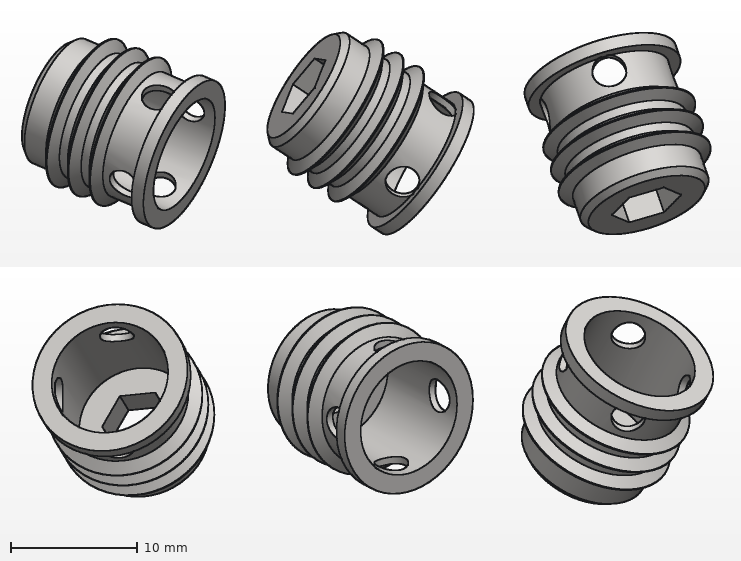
import cadquery as cq
import math

TOTAL_LENGTH = 12.1
OUTER_DIAMETER = 12.65
BODY_DIAMETER = 10.7
OUTER_RADIUS = OUTER_DIAMETER / 2
BODY_RADIUS = BODY_DIAMETER / 2

FLANGE_THICKNESS = 1.1
FLANGE_START = TOTAL_LENGTH - FLANGE_THICKNESS
NOSE_CHAMFER_LENGTH = 0.55
NOSE_CHAMFER_HEIGHT = 0.5

RIDGE_COUNT = 3
RIDGE_PITCH = 2.0
FIRST_RIDGE_CENTER = 3.15
RIDGE_BASE_WIDTH = 1.25
RIDGE_CREST_WIDTH = 0.1

HEX_ACROSS_FLATS = 5.0
HEX_ACROSS_CORNERS = HEX_ACROSS_FLATS / math.cos(math.radians(30))
HEX_DEPTH = 2.9
BORE_DIAMETER = 9.5

CROSS_HOLE_DIAMETER = 2.7
CROSS_HOLE_X = 9.75


def make_body():
    """Solid of revolution with the nose chamfer and the end flange."""
    profile = (
        cq.Workplane("XY")
        .moveTo(0, 0)
        .lineTo(0, BODY_RADIUS - NOSE_CHAMFER_HEIGHT)
        .lineTo(NOSE_CHAMFER_LENGTH, BODY_RADIUS)
        .lineTo(FLANGE_START, BODY_RADIUS)
        .lineTo(FLANGE_START, OUTER_RADIUS)
        .lineTo(TOTAL_LENGTH, OUTER_RADIUS)
        .lineTo(TOTAL_LENGTH, 0)
        .close()
    )
    return profile.revolve(360, (0, 0, 0), (1, 0, 0))


def make_ridge(center_x):
    """Tapered ring whose root reaches down to the axis, so it fuses with the body."""
    half_base = RIDGE_BASE_WIDTH / 2
    half_crest = RIDGE_CREST_WIDTH / 2
    profile = (
        cq.Workplane("XY")
        .moveTo(center_x - half_base, 0)
        .lineTo(center_x - half_base, BODY_RADIUS)
        .lineTo(center_x - half_crest, OUTER_RADIUS)
        .lineTo(center_x + half_crest, OUTER_RADIUS)
        .lineTo(center_x + half_base, BODY_RADIUS)
        .lineTo(center_x + half_base, 0)
        .close()
    )
    return profile.revolve(360, (0, 0, 0), (1, 0, 0))


def make_hex_socket():
    """Hexagonal socket with two corners on the Y axis."""
    return cq.Workplane("YZ").polygon(6, HEX_ACROSS_CORNERS).extrude(HEX_DEPTH)


def make_bore():
    """Round bore from the end of the socket out through the flange."""
    return (
        cq.Workplane("YZ", origin=(HEX_DEPTH, 0, 0))
        .circle(BORE_DIAMETER / 2)
        .extrude(TOTAL_LENGTH - HEX_DEPTH)
    )


def make_cross_hole(plane):
    """Hole through both walls of the neck, normal to the given plane.

    Its length equals the body diameter, so it stays inside the flange outline.
    """
    return (
        cq.Workplane(plane, origin=(CROSS_HOLE_X, 0, 0))
        .circle(CROSS_HOLE_DIAMETER / 2)
        .extrude(BODY_RADIUS, both=True)
    )


result = make_body()
for index in range(RIDGE_COUNT):
    result = result.union(make_ridge(FIRST_RIDGE_CENTER + index * RIDGE_PITCH))

result = result.cut(make_hex_socket())
result = result.cut(make_bore())
for hole_plane in ("XY", "XZ"):
    result = result.cut(make_cross_hole(hole_plane))